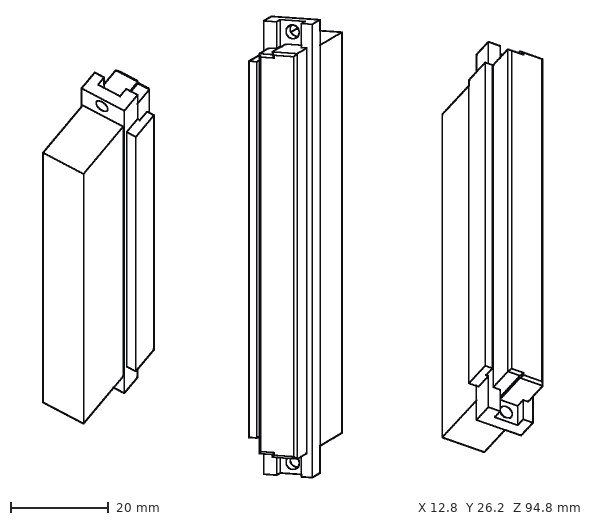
import cadquery as cq

flange_width = 10.5
flange_depth = 4.9
flange_height = 94.8
middle_z = flange_height / 2

body_inset = 0.3
body_depth = 14.7
body_end_gap = 5.5

plug_depth = 6.6
plug_width = 8.2
plug_long_width = 5.4
plug_end_gap = 5.0
plug_step = 0.6
plug_chamfer = 0.6

hole_diameter = 2.8
hole_x = 5.0
hole_end_gap = 2.4
groove_width = 5.4
groove_depth = 2.3

rail_reach = 2.3
rail_thickness = 1.7
rail_end_gap = 8.1
rail_front_y = 0.9
rail_back_y = 7.6


def make_box(x, y, z, width, depth, height):
    """Box with its left front bottom corner at (x, y, z)."""
    return cq.Workplane("XY").box(width, depth, height, centered=False).translate((x, y, z))


def make_flange():
    """Plate with a hole at each end and a groove along the back face."""
    flange = make_box(0, 0, 0, flange_width, flange_depth, flange_height)
    groove = make_box(
        hole_x - groove_width / 2, flange_depth - groove_depth, 0,
        groove_width, groove_depth, flange_height,
    )
    holes = (
        cq.Workplane("XZ")
        .pushPoints([(hole_x, hole_end_gap), (hole_x, flange_height - hole_end_gap)])
        .circle(hole_diameter / 2)
        .extrude(-flange_depth)
    )
    return flange.cut(groove).cut(holes)


def make_body():
    width = flange_width - 2 * body_inset
    height = flange_height - 2 * body_end_gap
    return make_box(body_inset, -body_depth, body_end_gap, width, body_depth, height)


def make_plug():
    """Plug from the groove floor backwards, long on the left and shorter on the right."""
    left = (flange_width - plug_width) / 2
    step_x = left + plug_long_width
    right = left + plug_width
    long_half = middle_z - plug_end_gap
    short_half = long_half - plug_step
    outline = [
        (left, middle_z - long_half),
        (step_x, middle_z - long_half),
        (step_x, middle_z - short_half),
        (right, middle_z - short_half),
        (right, middle_z + short_half),
        (step_x, middle_z + short_half),
        (step_x, middle_z + long_half),
        (left, middle_z + long_half),
    ]
    plug = (
        cq.Workplane("XZ", origin=(0, flange_depth - groove_depth, 0))
        .polyline(outline)
        .close()
        .extrude(-(groove_depth + plug_depth))
    )
    return plug.faces(">Y").chamfer(plug_chamfer)


def make_rail():
    """Web attached to the flange, with a thin lip running back from its outer edge."""
    height = flange_height - 2 * rail_end_gap
    web = make_box(
        flange_width, rail_front_y, rail_end_gap,
        rail_reach, flange_depth - rail_front_y, height,
    )
    lip = make_box(
        flange_width + rail_reach - rail_thickness, rail_front_y, rail_end_gap,
        rail_thickness, rail_back_y - rail_front_y, height,
    )
    return web.union(lip)


result = make_flange().union(make_body()).union(make_plug()).union(make_rail())